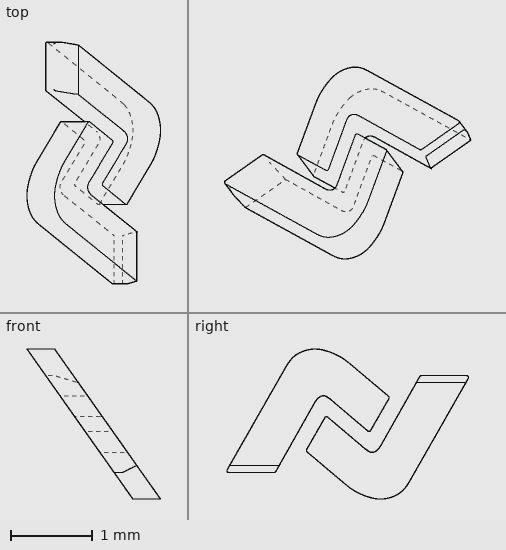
import cadquery as cq
import math

height = 1.84
length_x = 1.64
plate_width = 0.34
lean = (length_x - plate_width) / height
reach = 3.552

leg_angle = math.radians(60.4)
arm_angle = math.radians(40.2)
foot_v = -0.595
foot_inner = (0.888, foot_v)
foot_outer = (1.498, foot_v)
tip_outer = (-0.515, 0.33)
tip_inner = (-0.265, -0.105)
outer_bend = [(-0.005, 0.758), (0.207, 0.88), (0.405, height / 2), (0.598, 0.87), (0.755, 0.707)]
inner_bend = [(0.397, 0.275), (0.308, 0.345), (0.14, 0.24)]
corner_radius = 0.025

foot_flat = 0.1
bevel_height = 0.09

arm_up = (math.cos(arm_angle), math.sin(arm_angle))
arm_down = (-arm_up[0], -arm_up[1])
leg_down = (math.cos(leg_angle), -math.sin(leg_angle))
leg_up = (-leg_down[0], -leg_down[1])


def low_face_x(z):
    """X of the -X face of the sloping plate at level z."""
    return -length_x / 2 + lean * (height / 2 - z)


def high_face_x(z):
    return low_face_x(z) + plate_width


def xz_prism(points):
    """Prism through the whole part along Y."""
    return cq.Workplane("XZ").polyline(points).close().extrude(reach / 2, both=True)


def make_plate():
    low = -height / 2
    high = height / 2
    return xz_prism([
        (low_face_x(low), low),
        (high_face_x(low), low),
        (high_face_x(high), high),
        (low_face_x(high), high),
    ])


def make_hook_prism(side):
    """Hook outline run along X; side 1 has its foot at -Y, side -1 is turned half a turn about X."""
    plane = cq.Plane(origin=(0, 0, 0), xDir=(0, -1, 0), normal=(-1, 0, 0))
    prism = (
        cq.Workplane(plane)
        .moveTo(*tip_outer)
        .lineTo(*outer_bend[0])
        .spline(outer_bend[1:], tangents=[arm_up, leg_down], includeCurrent=True)
        .lineTo(*foot_outer)
        .lineTo(*foot_inner)
        .lineTo(*inner_bend[0])
        .spline(inner_bend[1:], tangents=[leg_up, arm_down], includeCurrent=True)
        .lineTo(*tip_inner)
        .close()
        .extrude(reach / 2, both=True)
    )
    for u, v in (tip_outer, tip_inner, foot_outer, foot_inner):
        corner = cq.selectors.NearestToPointSelector((0, -u, v))
        prism = prism.edges("|X").edges(corner).fillet(corner_radius)
    if side < 0:
        prism = prism.rotate((0, 0, 0), (1, 0, 0), 180)
    return prism


def make_foot_wedge(side):
    """Waste removed between the foot and the +X face."""
    foot_z = side * foot_v
    bevel_end_z = foot_z + side * bevel_height
    flat_end = (low_face_x(foot_z) + foot_flat, foot_z)
    bevel_end = (high_face_x(bevel_end_z), bevel_end_z)
    return xz_prism([flat_end, bevel_end, (reach / 2, bevel_end_z), (reach / 2, foot_z)])


def make_foot_half(side):
    """Block around one hook's foot, clear of its bend and of its tip."""
    width = foot_outer[0] - foot_inner[0] + bevel_height
    centre_y = -side * (foot_inner[0] + foot_outer[0]) / 2
    return cq.Workplane("XY").box(reach, width, reach).translate((0, centre_y, 0))


def make_hook(side):
    wedge = make_foot_wedge(side).intersect(make_foot_half(side))
    return make_plate().intersect(make_hook_prism(side)).cut(wedge)


hooks = [make_hook(side) for side in (1, -1)]
result = cq.Compound.makeCompound([hook.val() for hook in hooks])